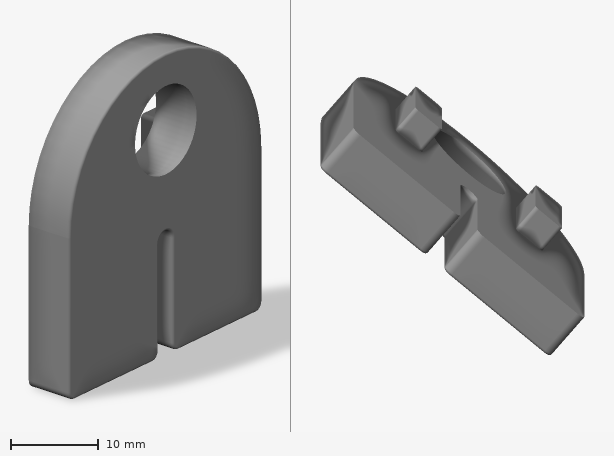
import cadquery as cq

width = 34.5
height = 37.5
plate_thickness = 6.0
corner_radius = 1.0
back_edge_radius = 0.3

hole_diameter = 11.0
hole_height = 28.0

slot_width = 2.6
slot_depth = 15.5

peg_length = 3.5
peg_width = 3.98
peg_height = 10.0
peg_spacing = 18.0
peg_center_height = 20.0
peg_corner_radius = 0.5

shoulder_height = height - width / 2


def make_plate():
    """Slotted, arched plate from X = 0 to X = plate_thickness."""
    arch = (
        cq.Workplane("YZ")
        .moveTo(-width / 2, 0)
        .lineTo(width / 2, 0)
        .lineTo(width / 2, shoulder_height)
        .threePointArc((0, height), (-width / 2, shoulder_height))
        .close()
        .extrude(plate_thickness)
    )
    slot = (
        cq.Workplane("YZ")
        .slot2D(2 * slot_depth, slot_width, angle=90)
        .extrude(plate_thickness)
    )
    plate = arch.cut(slot)
    plate = plate.edges("|X").edges("<Z").fillet(corner_radius)
    return plate.faces(">X").edges().fillet(back_edge_radius)


def make_pegs():
    """Two upright pegs with rounded long edges, pointing towards -X."""
    return (
        cq.Workplane("YZ")
        .pushPoints([(side * peg_spacing / 2, peg_center_height) for side in (-1, 1)])
        .rect(peg_width, peg_height)
        .extrude(-peg_length)
        .edges("|X")
        .fillet(peg_corner_radius)
    )


def make_hole():
    """Cylinder that cuts the sharp-edged hole through the full plate thickness."""
    return (
        cq.Workplane("YZ")
        .center(0, hole_height)
        .circle(hole_diameter / 2)
        .extrude(plate_thickness)
    )


result = make_plate().cut(make_hole()).union(make_pegs())